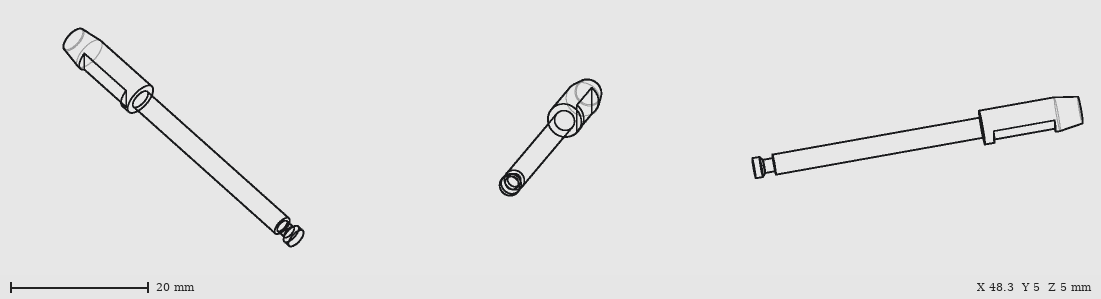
import cadquery as cq

total_length = 48.3
body_diameter = 5.0
shaft_diameter = 3.0
neck_diameter = 2.0
nose_diameter = 3.95
nose_edge_round = 0.15

nose_length = 3.5
body_end = 14.6
neck_start = 45.3
knob_start = 46.8
knob_rim_start = 47.25

flat_start = 4.1
flat_end = 13.15

body_radius = body_diameter / 2
shaft_radius = shaft_diameter / 2
neck_radius = neck_diameter / 2
nose_radius = nose_diameter / 2


def turned_pin():
    """Tapered nose, body, shaft, neck and knob revolved as one profile."""
    profile = (
        cq.Workplane("XY")
        .moveTo(0, 0)
        .lineTo(0, nose_radius)
        .lineTo(nose_length, body_radius)
        .lineTo(body_end, body_radius)
        .lineTo(body_end, shaft_radius)
        .lineTo(neck_start, shaft_radius)
        .lineTo(neck_start, neck_radius)
        .lineTo(knob_start, neck_radius)
        .lineTo(knob_rim_start, shaft_radius)
        .lineTo(total_length, shaft_radius)
        .lineTo(total_length, 0)
        .close()
    )
    pin = profile.revolve(360, (0, 0, 0), (1, 0, 0))
    return pin.faces("<X").edges().fillet(nose_edge_round)


def flat_cutter():
    """Block that removes the body material outside the flat."""
    return cq.Workplane("XY").box(
        flat_end - flat_start, body_diameter, body_diameter, centered=(False, False, True)
    ).translate((flat_start, -shaft_radius - body_diameter, 0))


result = turned_pin().cut(flat_cutter())